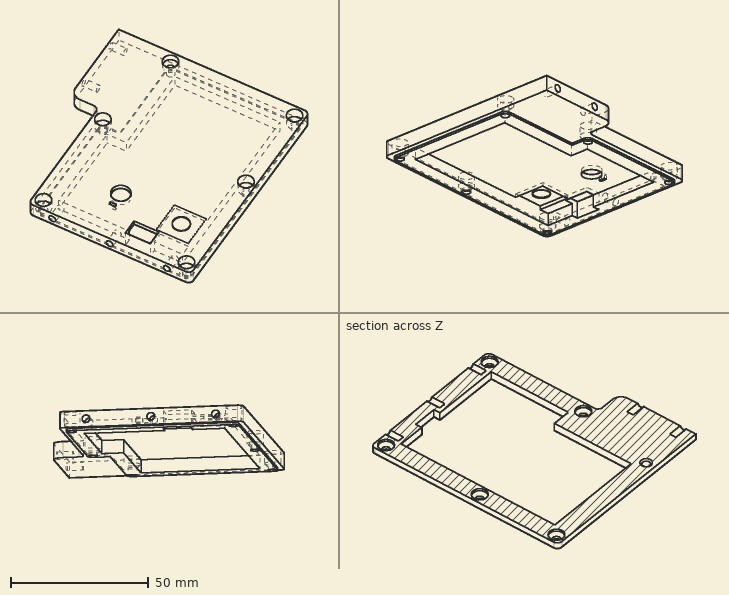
import cadquery as cq

LENGTH_X = 80.0
LENGTH_Y = 88.0
NOTCH_X = 12.0
NOTCH_TOP_Y = 52.0
CORNER_RADIUS = 2.0
NOTCH_OUTER_RADIUS = 4.0

LIP_HEIGHT = 0.8
PLATE_THICKNESS = 6.0
TOP_Z = LIP_HEIGHT + PLATE_THICKNESS
FLOOR_THICKNESS = 1.9

SCREW_INSET = 4.0
SCREW_HOLE_D = 3.2
SCREW_HEAD_D = 6.0
SCREW_HEAD_DEPTH = 4.2
UPPER_LEFT_HEAD_DEPTH = 2.6
LEFT_X = NOTCH_X + SCREW_INSET
RIGHT_X = LENGTH_X - SCREW_INSET
LOWER_Y = SCREW_INSET
MIDDLE_Y = NOTCH_TOP_Y - SCREW_INSET
UPPER_Y = LENGTH_Y - SCREW_INSET
UPPER_LEFT_X = 24.0
SCREWS = [
    (LEFT_X, LOWER_Y, SCREW_HEAD_DEPTH),
    (RIGHT_X, LOWER_Y, SCREW_HEAD_DEPTH),
    (LEFT_X, MIDDLE_Y, SCREW_HEAD_DEPTH),
    (RIGHT_X, MIDDLE_Y, SCREW_HEAD_DEPTH),
    (UPPER_LEFT_X, UPPER_Y, UPPER_LEFT_HEAD_DEPTH),
    (RIGHT_X, UPPER_Y, SCREW_HEAD_DEPTH),
]

LIP_OFFSET = 2.0
POCKET_OFFSET = -4.0

SIDE_HOLE_D = 2.8
SIDE_HOLE_DEPTH = 6.0
SIDE_HOLE_Z = LIP_HEIGHT + PLATE_THICKNESS / 2
FRONT_HOLE_MIDDLE_X = (NOTCH_X + LENGTH_X) / 2
FRONT_HOLE_PITCH = 24.0
FRONT_HOLE_X = [FRONT_HOLE_MIDDLE_X + step * FRONT_HOLE_PITCH for step in (-1, 0, 1)]
LEFT_HOLE_Y = [62.0, 82.0]

LARGE_HOLE_D = 7.5
LARGE_HOLE_X = 39.0
LARGE_HOLE_Y = 20.7
SMALL_HOLE_D = 6.6
SMALL_HOLE_X = 65.3
SMALL_HOLE_Y = 19.0
RECESS_FLOOR_THICKNESS = 0.4
SLOT_SIZE_X = 2.5
SLOT_SIZE_Y = 1.0
SLOT_Y = 14.7
WINDOW_SIZE_X = 10.4
WINDOW_SIZE_Y = 6.4
WINDOW_X = 54.9
WINDOW_Y = 8.4


def make_plate():
    """L-shaped plate with rounded vertical edges; its upper left corner stays sharp."""
    outline = [
        (NOTCH_X, 0),
        (LENGTH_X, 0),
        (LENGTH_X, LENGTH_Y),
        (0, LENGTH_Y),
        (0, NOTCH_TOP_Y),
        (NOTCH_X, NOTCH_TOP_Y),
    ]
    base = cq.Workplane("XY").workplane(offset=LIP_HEIGHT)
    plate = base.polyline(outline).close().extrude(PLATE_THICKNESS)
    small_radius_corners = outline[:3] + outline[5:]
    plate = round_corners(plate, small_radius_corners, CORNER_RADIUS)
    return round_corners(plate, [outline[4]], NOTCH_OUTER_RADIUS)


def round_corners(body, corners, radius):
    """Fillet the vertical edges of the body that stand at the given corners."""
    for x, y in corners:
        edge = body.edges("|Z").edges(cq.selectors.NearestToPointSelector((x, y, TOP_Z / 2)))
        body = edge.fillet(radius)
    return body


def stepped_outline(offset):
    """L-shaped outline at a fixed distance outward from the screw centres."""
    return [
        (LEFT_X - offset, LOWER_Y - offset),
        (RIGHT_X + offset, LOWER_Y - offset),
        (RIGHT_X + offset, UPPER_Y + offset),
        (UPPER_LEFT_X - offset, UPPER_Y + offset),
        (UPPER_LEFT_X - offset, MIDDLE_Y + offset),
        (LEFT_X - offset, MIDDLE_Y + offset),
    ]


def make_lip():
    """Low raised area on the underside, rounded at its outward corners."""
    outline = stepped_outline(LIP_OFFSET)
    lip = cq.Workplane("XY").polyline(outline).close().extrude(LIP_HEIGHT)
    outward_corners = outline[:4] + outline[5:]
    return round_corners(lip, outward_corners, CORNER_RADIUS)


def make_pocket():
    """Pocket from below that leaves the thin floor and turns the lip into a rim."""
    outline = stepped_outline(POCKET_OFFSET)
    return cq.Workplane("XY").polyline(outline).close().extrude(TOP_Z - FLOOR_THICKNESS)


def make_small_hole_recess():
    """Square recess from below, centred on the small hole and reaching the pocket's right wall."""
    half_size = RIGHT_X + POCKET_OFFSET - SMALL_HOLE_X
    recess = cq.Workplane("XY").center(SMALL_HOLE_X, SMALL_HOLE_Y).rect(2 * half_size, 2 * half_size)
    return recess.extrude(TOP_Z - RECESS_FLOOR_THICKNESS)


def make_screw_hole(x, y, head_depth):
    """Through hole with a 90 degree countersink sunk below the top face."""
    head_r = SCREW_HEAD_D / 2
    hole_r = SCREW_HOLE_D / 2
    cone_top_z = TOP_Z - head_depth
    cone_bottom_z = cone_top_z - (head_r - hole_r)
    profile = [
        (0, 0),
        (hole_r, 0),
        (hole_r, cone_bottom_z),
        (head_r, cone_top_z),
        (head_r, TOP_Z),
        (0, TOP_Z),
    ]
    hole = cq.Workplane("XZ").polyline(profile).close().revolve(360, (0, 0), (0, 1))
    return hole.translate((x, y, 0))


def make_side_hole(start, direction):
    """Blind hole drilled into a side face along the given direction."""
    axis = cq.Vector(*direction)
    hole = cq.Solid.makeCylinder(SIDE_HOLE_D / 2, SIDE_HOLE_DEPTH, cq.Vector(*start), axis)
    return cq.Workplane(hole)


def make_openings():
    """Two round holes, a small slot and a rectangular window, all right through."""
    base = cq.Workplane("XY")
    large_hole = base.center(LARGE_HOLE_X, LARGE_HOLE_Y).circle(LARGE_HOLE_D / 2).extrude(TOP_Z)
    small_hole = base.center(SMALL_HOLE_X, SMALL_HOLE_Y).circle(SMALL_HOLE_D / 2).extrude(TOP_Z)
    slot = base.center(LARGE_HOLE_X, SLOT_Y).rect(SLOT_SIZE_X, SLOT_SIZE_Y).extrude(TOP_Z)
    window = base.center(WINDOW_X, WINDOW_Y).rect(WINDOW_SIZE_X, WINDOW_SIZE_Y).extrude(TOP_Z)
    return [large_hole, small_hole, slot, window]


cutters = [make_pocket(), make_small_hole_recess()] + make_openings()
cutters += [make_screw_hole(x, y, head_depth) for x, y, head_depth in SCREWS]
cutters += [make_side_hole((x, 0, SIDE_HOLE_Z), (0, 1, 0)) for x in FRONT_HOLE_X]
cutters += [make_side_hole((0, y, SIDE_HOLE_Z), (1, 0, 0)) for y in LEFT_HOLE_Y]

result = make_plate().union(make_lip())
for cutter in cutters:
    result = result.cut(cutter)